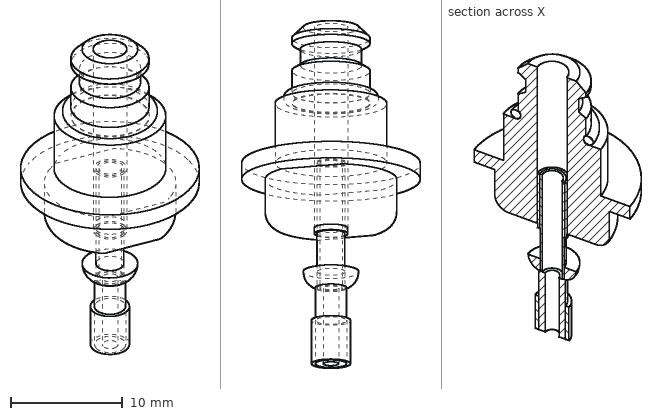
import cadquery as cq
import math

TOTAL_HEIGHT = 31.0
SLEEVE_TOP_Z = 4.0
COLLAR_BOTTOM_Z = 7.0
COLLAR_TOP_Z = 8.5
BUSHING_BOTTOM_Z = 12.0
HOUSING_BOTTOM_Z = 12.5
FLANGE_BOTTOM_Z = 17.0
FLANGE_THICKNESS = 1.52
BARREL_TOP_Z = 24.0
NECK_BOTTOM_Z = 27.5
NECK_TOP_Z = 29.0
FLANGE_TOP_Z = FLANGE_BOTTOM_Z + FLANGE_THICKNESS

FLANGE_DIAMETER = 16.0
BARREL_DIAMETER = 10.0
SPIGOT_DIAMETER = 7.0
NECK_DIAMETER = 5.5
TIP_DIAMETER = 5.0
BORE_DIAMETER = 3.0
NECK_TAPER_HEIGHT = 0.5
TIP_TAPER_HEIGHT = 1.0
BASE_DIAMETER = 11.78
BASE_ACROSS_FLATS = 10.23
BASE_EDGE_RADIUS = 1.5
FLAT_EDGE_RADIUS = 0.25

RING_SECTION_DIAMETER = 1.0
RING_CENTRE_DIAMETER = 7.5

TUBE_DIAMETER = 2.5
TUBE_BORE_DIAMETER = 2.0
BUSHING_TOP_Z = FLANGE_TOP_Z

COLLAR_DIAMETER = 5.0
SHANK_DIAMETER = 2.8
SHANK_BORE_DIAMETER = 1.4
SLEEVE_DIAMETER = 3.5


def cylinder(diameter, bottom_z, top_z):
    """Solid cylinder on the Z axis between two levels."""
    return cq.Workplane("XY").workplane(offset=bottom_z).circle(diameter / 2).extrude(top_z - bottom_z)


def tube_between(outer_diameter, inner_diameter, bottom_z, top_z):
    """Hollow cylinder on the Z axis between two levels."""
    base_plane = cq.Workplane("XY").workplane(offset=bottom_z)
    annulus = base_plane.circle(outer_diameter / 2).circle(inner_diameter / 2)
    return annulus.extrude(top_z - bottom_z)


def revolve_about_z(profile):
    """Solid from a full turn of a profile whose local x is the radius and local y is Z."""
    return profile.close().revolve(360, (0, 0, 0), (0, 1, 0))


def make_o_ring():
    """Ring of round section lying on the barrel's top face, partly let into the spigot."""
    section = cq.Workplane("XZ").center(RING_CENTRE_DIAMETER / 2, BARREL_TOP_Z + RING_SECTION_DIAMETER / 2)
    axis_x = -RING_CENTRE_DIAMETER / 2
    return section.circle(RING_SECTION_DIAMETER / 2).revolve(360, (axis_x, 0, 0), (axis_x, 1, 0))


def make_base():
    """Round block under the flange with flats on +X and -X, rounded beside the flats and at the bottom."""
    flats = cq.Workplane("XY").workplane(offset=HOUSING_BOTTOM_Z).rect(BASE_ACROSS_FLATS, BASE_DIAMETER)
    block = flats.extrude(FLANGE_BOTTOM_Z - HOUSING_BOTTOM_Z)
    base = cylinder(BASE_DIAMETER, HOUSING_BOTTOM_Z, FLANGE_BOTTOM_Z).intersect(block)
    base = base.edges("|Z").fillet(FLAT_EDGE_RADIUS)
    return base.faces("<Z").edges().fillet(BASE_EDGE_RADIUS)


def make_spigot():
    """Stepped plug above the barrel, with a necked groove and a tapered tip."""
    spigot_radius = SPIGOT_DIAMETER / 2
    neck_radius = NECK_DIAMETER / 2
    profile = (
        cq.Workplane("XZ")
        .moveTo(0, BARREL_TOP_Z)
        .lineTo(spigot_radius, BARREL_TOP_Z)
        .lineTo(spigot_radius, NECK_BOTTOM_Z - NECK_TAPER_HEIGHT)
        .lineTo(neck_radius, NECK_BOTTOM_Z)
        .lineTo(neck_radius, NECK_TOP_Z)
        .lineTo(spigot_radius, NECK_TOP_Z + NECK_TAPER_HEIGHT)
        .lineTo(spigot_radius, TOTAL_HEIGHT - TIP_TAPER_HEIGHT)
        .lineTo(TIP_DIAMETER / 2, TOTAL_HEIGHT)
        .lineTo(0, TOTAL_HEIGHT)
    )
    return revolve_about_z(profile)


def make_housing():
    """Base, flange, barrel and spigot with a through bore and a seat for the O-ring."""
    flange = cylinder(FLANGE_DIAMETER, FLANGE_BOTTOM_Z, FLANGE_TOP_Z)
    barrel = cylinder(BARREL_DIAMETER, FLANGE_TOP_Z, BARREL_TOP_Z)
    body = make_base().union(flange).union(barrel).union(make_spigot())
    bore = cylinder(BORE_DIAMETER, HOUSING_BOTTOM_Z, TOTAL_HEIGHT)
    return body.cut(bore).cut(make_o_ring())


def make_bushing():
    """Liner in the housing bore that holds the tube and stands out slightly below."""
    return tube_between(BORE_DIAMETER, TUBE_DIAMETER, BUSHING_BOTTOM_Z, BUSHING_TOP_Z)


def make_tube():
    """Thin tube from the bushing's top down to the floor of the collar's socket."""
    return tube_between(TUBE_DIAMETER, TUBE_BORE_DIAMETER, COLLAR_BOTTOM_Z, BUSHING_TOP_Z)


def make_collar_fitting():
    """Shank with a cup-shaped collar on top; the tube ends in the collar's socket."""
    collar_radius = COLLAR_DIAMETER / 2
    shank_radius = SHANK_DIAMETER / 2
    collar_height = COLLAR_TOP_Z - COLLAR_BOTTOM_Z
    overhang = collar_radius - shank_radius
    arc_radius = (overhang ** 2 + collar_height ** 2) / (2 * overhang)
    half_angle = math.asin(collar_height / arc_radius) / 2
    arc_middle = (
        collar_radius - arc_radius * (1 - math.cos(half_angle)),
        COLLAR_TOP_Z - arc_radius * math.sin(half_angle),
    )
    profile = (
        cq.Workplane("XZ")
        .moveTo(0, 0)
        .lineTo(shank_radius, 0)
        .lineTo(shank_radius, COLLAR_BOTTOM_Z)
        .threePointArc(arc_middle, (collar_radius, COLLAR_TOP_Z))
        .lineTo(0, COLLAR_TOP_Z)
    )
    socket = cylinder(TUBE_DIAMETER, COLLAR_BOTTOM_Z, COLLAR_TOP_Z)
    bore = cylinder(SHANK_BORE_DIAMETER, 0, COLLAR_BOTTOM_Z)
    return revolve_about_z(profile).cut(socket).cut(bore)


def make_sleeve():
    """Sleeve around the lower end of the shank."""
    return tube_between(SLEEVE_DIAMETER, SHANK_DIAMETER, 0, SLEEVE_TOP_Z)


housing = make_housing()
o_ring = make_o_ring()
bushing = make_bushing()
tube = make_tube()
collar_fitting = make_collar_fitting()
sleeve = make_sleeve()

result = cq.Compound.makeCompound([
    housing.solids().val(),
    o_ring.solids().val(),
    bushing.solids().val(),
    tube.solids().val(),
    collar_fitting.solids().val(),
    sleeve.solids().val(),
])